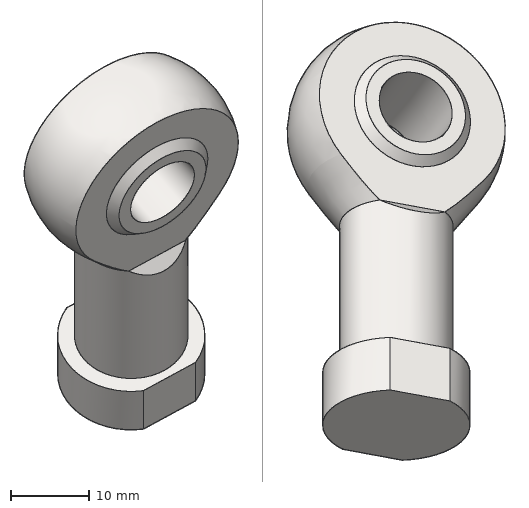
import cadquery as cq
import math

total_height = 56.85

collar_diameter = 18.9
collar_height = 7.7
collar_across_flats = 17.0

shank_radius = 7.3
shank_top = 29.05

head_radius = 14.0
head_width = 11.5
head_center = total_height - head_radius

ball_width = 13.9
ball_base_radius = 7.95
ball_face_radius = 6.8
bore_diameter = 10.0


def make_collar():
    """Round collar with two flats facing +X and -X."""
    disc = cq.Workplane("XY").circle(collar_diameter / 2).extrude(collar_height)
    flats = cq.Workplane("XY").rect(collar_across_flats, collar_diameter).extrude(collar_height)
    return disc.intersect(flats)


def make_body():
    """Shank, a cone tangent to the head, and the spherical head, revolved about Z."""
    drop = head_center - shank_top
    tangent_angle = math.atan2(-drop, shank_radius) + math.acos(head_radius / math.hypot(shank_radius, drop))
    tangent_point = (
        head_radius * math.cos(tangent_angle),
        head_center + head_radius * math.sin(tangent_angle),
    )
    return (
        cq.Workplane("XZ")
        .lineTo(shank_radius, 0)
        .lineTo(shank_radius, shank_top)
        .lineTo(*tangent_point)
        .threePointArc((head_radius, head_center), (0, total_height))
        .close()
        .revolve(360, (0, 0), (0, 1))
    )


def make_side_envelope():
    """Flat eye sides that slope out at 45 degrees to clear the shank below."""
    half_width = head_width / 2
    slope_bottom = shank_top - (shank_radius - half_width)
    return (
        cq.Workplane("XZ")
        .moveTo(-shank_radius, 0)
        .lineTo(shank_radius, 0)
        .lineTo(shank_radius, slope_bottom)
        .lineTo(half_width, shank_top)
        .lineTo(half_width, total_height)
        .lineTo(-half_width, total_height)
        .lineTo(-half_width, shank_top)
        .lineTo(-shank_radius, slope_bottom)
        .close()
        .extrude(head_radius, both=True)
    )


def make_ball():
    """Bearing ball: a cone frustum on each side, joined inside the eye."""
    return (
        cq.Workplane("XY")
        .moveTo(-ball_width / 2, 0)
        .lineTo(-ball_width / 2, ball_face_radius)
        .lineTo(-head_width / 2, ball_base_radius)
        .lineTo(head_width / 2, ball_base_radius)
        .lineTo(ball_width / 2, ball_face_radius)
        .lineTo(ball_width / 2, 0)
        .close()
        .revolve(360, (0, 0), (1, 0))
        .translate((0, 0, head_center))
    )


def make_bore():
    """Through bore along X."""
    return (
        cq.Workplane("YZ")
        .center(0, head_center)
        .circle(bore_diameter / 2)
        .extrude(ball_width, both=True)
    )


eye_and_shank = make_body().intersect(make_side_envelope())
result = eye_and_shank.union(make_collar()).union(make_ball()).cut(make_bore())